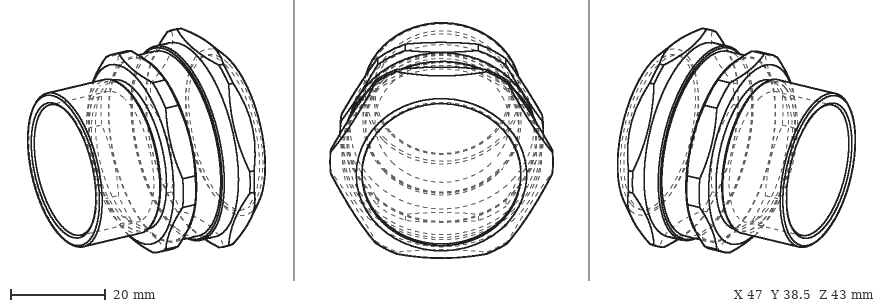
import cadquery as cq
import math

thread_radius = 33.25 / 2
thread_length = 14.55
thread_chamfer = 0.4
neck_radius = 32.25 / 2

front_hex_flats = 40.05
front_hex_corner_radius = 42.85 / 2
front_hex_start = 16.0
front_hex_end = 21.15
front_hex_face_radius = 38.75 / 2
front_hex_back_radius = 19.75

body_radius = 40.0 / 2
collar_radius = 42.0 / 2
collar_start = 26.85
collar_chamfer = 0.35

rear_hex_flats = 43.0
rear_hex_corner_radius = 47 / 2
rear_hex_start = 30.6
total_length = 38.55
rear_face_radius = 35.9 / 2
rear_recess_radius = 33.5 / 2
rear_recess_depth = 0.8

bore_radius = 28.25 / 2
bore_depth = 14.0
bore_chamfer = 0.45

nut_chamfer_angle = math.radians(30)
rear_chamfer_angle = math.radians(45)


def cylinder(radius, start, end):
    """Cylinder about the Y axis between two Y positions."""
    plane = cq.Plane(origin=(0, start, 0), xDir=(1, 0, 0), normal=(0, 1, 0))
    return cq.Workplane(plane).circle(radius).extrude(end - start)


def chamfered_hexagon(flats, corner_radius, start, end, front_radius, back_radius, back_angle):
    """Hexagon with corners on the X axis, trimmed by a cylinder with a cone at each end."""
    front_cone = (corner_radius - front_radius) * math.tan(nut_chamfer_angle)
    back_cone = (corner_radius - back_radius) * math.tan(back_angle)
    plane = cq.Plane(origin=(0, start, 0), xDir=(1, 0, 0), normal=(0, 1, 0))
    across_corners = flats / math.cos(math.pi / 6)
    prism = cq.Workplane(plane).polygon(6, across_corners).extrude(end - start)
    envelope = (
        cq.Workplane("XY")
        .moveTo(0, start)
        .lineTo(front_radius, start)
        .lineTo(corner_radius, start + front_cone)
        .lineTo(corner_radius, end - back_cone)
        .lineTo(back_radius, end)
        .lineTo(0, end)
        .close()
        .revolve(360, (0, 0, 0), (0, 1, 0))
    )
    return prism.intersect(envelope)


thread = cylinder(thread_radius, 0, thread_length).faces("<Y or >Y").chamfer(thread_chamfer)
neck = cylinder(neck_radius, thread_length, front_hex_start)
front_hexagon = chamfered_hexagon(
    front_hex_flats, front_hex_corner_radius, front_hex_start, front_hex_end,
    front_hex_face_radius, front_hex_back_radius, nut_chamfer_angle,
)
body = cylinder(body_radius, front_hex_end, collar_start)
collar = cylinder(collar_radius, collar_start, rear_hex_start).faces("<Y").chamfer(collar_chamfer)
rear_hexagon = chamfered_hexagon(
    rear_hex_flats, rear_hex_corner_radius, rear_hex_start, total_length,
    collar_radius, rear_face_radius, rear_chamfer_angle,
)
outer = thread.union(neck).union(front_hexagon).union(body).union(collar).union(rear_hexagon)

bore = cylinder(bore_radius, 0, bore_depth)
rear_recess = cylinder(rear_recess_radius, total_length - rear_recess_depth, total_length)

bored = outer.cut(bore).cut(rear_recess)

bore_rim = cq.selectors.RadiusNthSelector(0)
result = bored.faces("<Y").edges(bore_rim).chamfer(bore_chamfer)